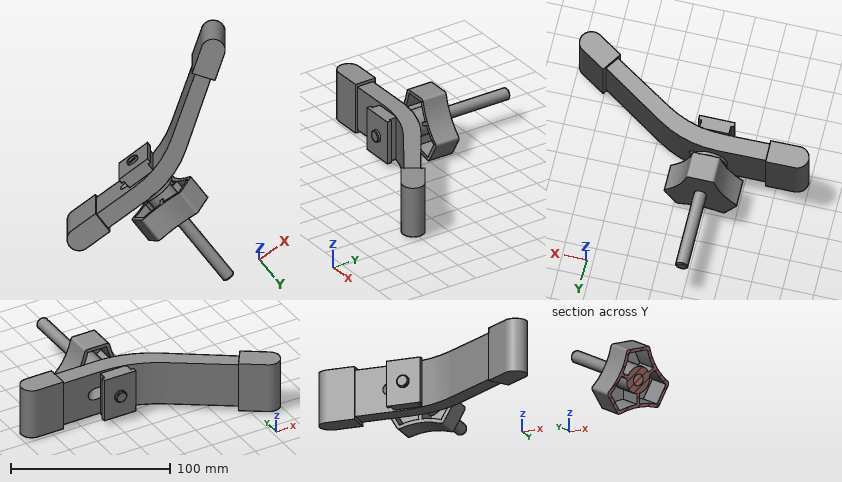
import cadquery as cq
import math


STUD_RADIUS = 4.0
STUD_START = -18.0
STUD_LENGTH = 100.1
STUD_CHAMFER = 0.6

ARM_WIDTH = 30.8
ARM_THICKNESS = 11.9
LEFT_TILT = 0.5
BEND_X_OUTER = 16.7
BEND_X_INNER = 14.1
RIGHT_ANGLE = 33.6
RIGHT_TAPER = 0.4
BEND_RADIUS = 68.3
LEFT_LEG_REACH = 71.5
RIGHT_LEG_REACH = 79.5

SLOT_WIDTH = 8.3
SLOT_LENGTH = 20.5
SLOT_CENTRE_X = -1.1

PAD_WIDTH = 35.0
PAD_THICKNESS = 15.1
PAD_LENGTH = 26.2
LEFT_PAD_ROOT = (-36.4, -0.2)
RIGHT_PAD_ROOT = (73.3, -38.1)

NUT_LENGTH = 30.0
NUT_BOTTOM = -15.9
NUT_LIP_THICKNESS = 3.0
NUT_HEIGHT = 8.5
NUT_LIP_WIDTH = 22.9
NUT_NECK_WIDTH = 18.9

WASHER_RADIUS = 11.9
WASHER_BOTTOM = 6.4
WASHER_THICKNESS = 2.0

HUB_RADIUS = 8.9
HUB_PROJECTION = 4.5
CUP_HEIGHT = 17.5
CUP_WALL = 2.4
LOBE_REACH = 22.5
LOBE_HALF_WIDTH = 8.7
LOBE_CORNER_RADIUS = 1.9
SIDE_REACH = 16.2
LOBE_CENTRE_Z = -1.7
LOBE_ANGLES = (90, 210, 330)
RIB_THICKNESS = 2.4


def cylinder_along_y(radius, start, length):
    """Round bar on the stud axis."""
    return cq.Workplane("XZ", origin=(0, start, 0)).circle(radius).extrude(-length)


def polar(radius, angle):
    """Point at a distance and at an angle in degrees from the origin."""
    turn = math.radians(angle)
    return radius * math.cos(turn), radius * math.sin(turn)


def shifted(point, distance, angle):
    """Point moved by a distance in the direction of an angle in degrees."""
    step_x, step_y = polar(distance, angle)
    return point[0] + step_x, point[1] + step_y


def make_stud():
    stud = cylinder_along_y(STUD_RADIUS, STUD_START, STUD_LENGTH)
    return stud.faces("<Y or >Y").chamfer(STUD_CHAMFER)


def make_pad(root, angle):
    """Block with a fully rounded end that runs from its root in the direction of the angle."""
    straight = PAD_LENGTH - PAD_THICKNESS / 2
    pad = (
        cq.Workplane("XY")
        .moveTo(0, -PAD_THICKNESS / 2)
        .lineTo(straight, -PAD_THICKNESS / 2)
        .threePointArc((PAD_LENGTH, 0), (straight, PAD_THICKNESS / 2))
        .lineTo(0, PAD_THICKNESS / 2)
        .close()
        .extrude(PAD_WIDTH / 2, both=True)
    )
    return pad.rotate((0, 0, 0), (0, 0, 1), angle).translate((*root, 0))


def make_legs():
    outer_bend = (BEND_X_OUTER, ARM_THICKNESS / 2)
    inner_bend = (BEND_X_INNER, -ARM_THICKNESS / 2)
    outline = [
        shifted(outer_bend, LEFT_LEG_REACH, 180 + LEFT_TILT),
        outer_bend,
        shifted(outer_bend, RIGHT_LEG_REACH, -RIGHT_ANGLE - RIGHT_TAPER),
        shifted(inner_bend, RIGHT_LEG_REACH, RIGHT_TAPER - RIGHT_ANGLE),
        inner_bend,
        shifted(inner_bend, LEFT_LEG_REACH, 180 + LEFT_TILT),
    ]
    legs = cq.Workplane("XY").polyline(outline).close().extrude(ARM_WIDTH / 2, both=True)
    for bend in (outer_bend, inner_bend):
        legs = legs.edges(cq.NearestToPointSelector((*bend, 0))).fillet(BEND_RADIUS)
    return legs


def make_arm():
    arm = make_legs()
    arm = arm.union(make_pad(LEFT_PAD_ROOT, 180 + LEFT_TILT))
    arm = arm.union(make_pad(RIGHT_PAD_ROOT, -RIGHT_ANGLE))
    slot = cq.Workplane("XZ").slot2D(SLOT_LENGTH, SLOT_WIDTH).extrude(2 * ARM_THICKNESS, both=True)
    slot = slot.rotate((0, 0, 0), (0, 0, 1), -RIGHT_ANGLE).translate((SLOT_CENTRE_X, 0, 0))
    return arm.cut(slot)


def make_nut(stud, arm):
    """Stepped block on the stud, with one neck edge seated against the bend of the arm."""
    lip_top = NUT_BOTTOM + NUT_LIP_THICKNESS
    neck_height = NUT_HEIGHT - NUT_LIP_THICKNESS
    lip = cq.Workplane("XZ", origin=(0, NUT_BOTTOM, 0)).rect(NUT_LIP_WIDTH, NUT_LENGTH)
    neck = cq.Workplane("XZ", origin=(0, lip_top, 0)).rect(NUT_NECK_WIDTH, NUT_LENGTH)
    nut = lip.extrude(-NUT_LIP_THICKNESS).union(neck.extrude(-neck_height))
    return nut.cut(stud).cut(arm)


def make_washer(stud):
    return cylinder_along_y(WASHER_RADIUS, WASHER_BOTTOM, WASHER_THICKNESS).cut(stud)


def lobe_prism(inset, start, length):
    """Prism on three flat tips joined by hollow arcs, its outline moved inwards by the inset."""
    half_turn = 180 / len(LOBE_ANGLES)
    corner_radius = math.hypot(LOBE_REACH, LOBE_HALF_WIDTH)
    corner_angle = math.degrees(math.atan2(LOBE_HALF_WIDTH, LOBE_REACH))
    first_corner = polar(corner_radius, LOBE_ANGLES[0] - corner_angle)
    outline = cq.Workplane("XZ", origin=(0, start, LOBE_CENTRE_Z)).moveTo(*first_corner)
    for angle in LOBE_ANGLES:
        next_lobe = angle + 2 * half_turn
        outline = outline.lineTo(*polar(corner_radius, angle + corner_angle))
        outline = outline.threePointArc(
            polar(SIDE_REACH, angle + half_turn),
            polar(corner_radius, next_lobe - corner_angle),
        )
    outline = outline.close()
    if inset:
        outline = outline.offset2D(-inset)
    return outline.extrude(-length)


def make_ribs(start, length):
    """Radial webs from the lobe centre into the cup wall, one between each two lobes."""
    reach = SIDE_REACH - CUP_WALL / 2
    ribs = cq.Workplane("XZ")
    for angle in LOBE_ANGLES:
        rib_angle = angle + 180 / len(LOBE_ANGLES)
        rib = cq.Workplane("XZ", origin=(0, start, 0)).center(reach / 2, 0)
        rib = rib.rect(reach, RIB_THICKNESS).extrude(-length)
        ribs = ribs.add(rib.rotate((0, 0, 0), (0, 1, 0), -rib_angle))
    return ribs.combine().translate((0, 0, LOBE_CENTRE_Z))


def make_knob(stud):
    hub_start = WASHER_BOTTOM + WASHER_THICKNESS
    rim = hub_start + HUB_PROJECTION
    cup = lobe_prism(0, rim, CUP_HEIGHT).edges("|Y").fillet(LOBE_CORNER_RADIUS)
    cup = cup.cut(lobe_prism(CUP_WALL, rim, CUP_HEIGHT - CUP_WALL))
    hub = cylinder_along_y(HUB_RADIUS, hub_start, HUB_PROJECTION + CUP_HEIGHT)
    return cup.union(hub).union(make_ribs(rim, CUP_HEIGHT)).cut(stud)


stud = make_stud()
arm = make_arm()
nut = make_nut(stud, arm)
washer = make_washer(stud)
knob = make_knob(stud)

result = cq.Compound.makeCompound([stud.val(), arm.val(), nut.val(), washer.val(), knob.val()])